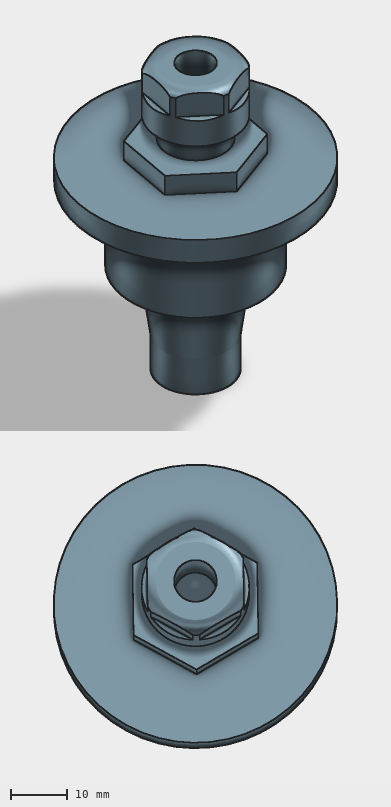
import cadquery as cq
import math

spigot_top = 7.8
taper_top = 22.5
body_top = 41.0
flange_top = 45.95
hex_collar_top = 50.1
neck_top = 55.1
flats_bottom = 60.95
total_height = 66.4

spigot_diameter = 16.0
taper_diameter = 20.1
body_diameter = 32.0
flange_diameter = 50.0
neck_diameter = 13.8
cap_diameter = 19.0
cap_face_diameter = 14.0
bore_diameter = 7.5

hex_sides = 6
hex_collar_width = 22.0
cap_flats_width = 17.0
crown_radius = 3.0
ledge_slope = 20.0
cutter_overlap = 0.65


def cylinder(diameter, bottom, top):
    return cq.Workplane("XY").workplane(offset=bottom).circle(diameter / 2).extrude(top - bottom)


def make_base():
    """Spigot, taper, body and flange as one turned profile."""
    return (
        cq.Workplane("XZ")
        .moveTo(0, 0)
        .lineTo(spigot_diameter / 2, 0)
        .lineTo(spigot_diameter / 2, spigot_top)
        .lineTo(taper_diameter / 2, taper_top)
        .lineTo(body_diameter / 2, taper_top)
        .lineTo(body_diameter / 2, body_top)
        .lineTo(flange_diameter / 2, body_top)
        .lineTo(flange_diameter / 2, flange_top)
        .lineTo(0, flange_top)
        .close()
        .revolve(360, (0, 0, 0), (0, 1, 0))
    )


def make_hex_collar():
    """Hexagon with two of its flats facing +X and -X."""
    across_corners = hex_collar_width / math.cos(math.pi / hex_sides)
    return (
        cq.Workplane("XY")
        .workplane(offset=flange_top)
        .polygon(hex_sides, across_corners)
        .extrude(hex_collar_top - flange_top)
        .rotate((0, 0, 0), (0, 0, 1), 180 / hex_sides)
    )


def make_cap_blank():
    """Round cap whose crown is an arc tangent to the flat top face."""
    outer_radius = cap_diameter / 2
    face_radius = cap_face_diameter / 2

    def crown_height(radius):
        reach = radius - face_radius
        return total_height - crown_radius + math.sqrt(crown_radius**2 - reach**2)

    middle_radius = (outer_radius + face_radius) / 2
    return (
        cq.Workplane("XZ")
        .moveTo(0, neck_top)
        .lineTo(outer_radius, neck_top)
        .lineTo(outer_radius, crown_height(outer_radius))
        .threePointArc((middle_radius, crown_height(middle_radius)), (face_radius, total_height))
        .lineTo(0, total_height)
        .close()
        .revolve(360, (0, 0, 0), (0, 1, 0))
    )


def make_flat_cutter():
    """Block that leaves one vertical flat above an outward-sloping ledge."""
    inner = cap_flats_width / 2
    outer = cap_diameter / 2 + cutter_overlap
    ledge_drop = (outer - inner) * math.tan(math.radians(ledge_slope))
    return (
        cq.Workplane("XZ")
        .moveTo(inner, flats_bottom)
        .lineTo(outer, flats_bottom - ledge_drop)
        .lineTo(outer, total_height)
        .lineTo(inner, total_height)
        .close()
        .extrude(cap_diameter / 2, both=True)
    )


def make_cap():
    cap = make_cap_blank()
    cutter = make_flat_cutter()
    for side in range(hex_sides):
        cap = cap.cut(cutter.rotate((0, 0, 0), (0, 0, 1), side * 360 / hex_sides))
    return cap.cut(cylinder(bore_diameter, neck_top, total_height))


neck = cylinder(neck_diameter, hex_collar_top, neck_top)
result = make_base().union(make_hex_collar()).union(neck).union(make_cap())